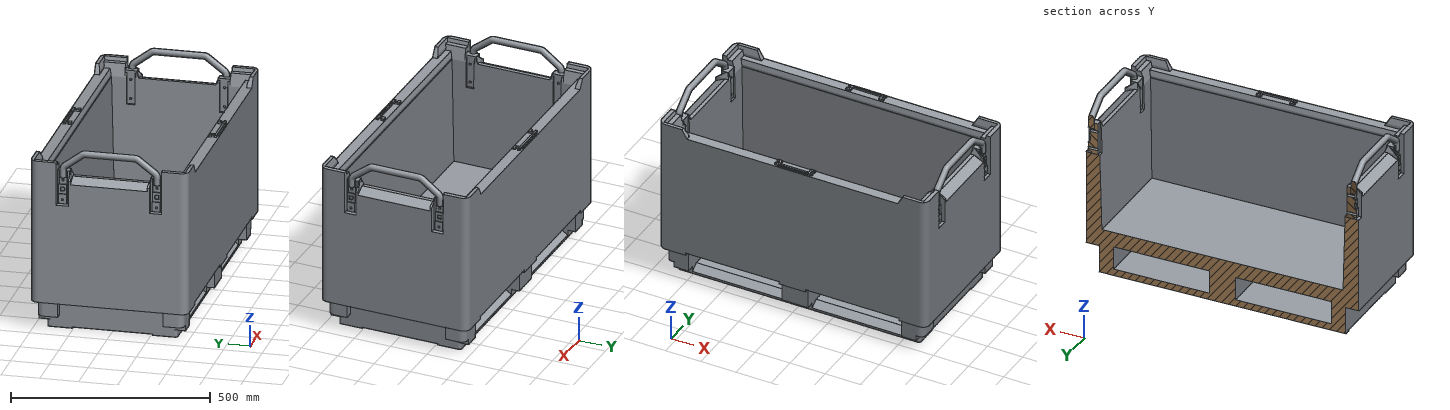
import cadquery as cq
LENGTH = 762.0
WIDTH = 406.0
TOTAL_HEIGHT = 488.0
POST_TOP = 455.0
RIM_TOP = 430.5
LEDGE_TOP = 445.0
WALL_BOTTOM = 76.0
CORNER_RADIUS = 20.0
CLEAR = 76.0

FLOOR_TOP = 126.5
DRAFT_TOP = 411.5
FLOOR_HALF_X, FLOOR_HALF_Y = 336.0, 161.0
DRAFT_HALF_X, DRAFT_HALF_Y = 344.0, 169.0
RIM_STEP_TOP = 417.0
RIM_STEP_HALF_Y = 171.0
RIM_HALF_Y = 174.5
LEDGE_HALF_X = 353.5
LIP_FOOT_HALF_X, LIP_HALF_X = 366.5, 369.5
LIP_FOOT_HALF_Y, LIP_HALF_Y = 190.0, 194.0
LIP_SLOPE_BOTTOM = 437.5

SIDE_CUT_HALF_BOTTOM = 299.5
SIDE_CUT_HALF_TOP = 314.0

END_TOP = 413.0
END_BEVEL_DROP = 14.0
END_BEVEL_HALF_X = 354.0
END_CUT_HALF_Y = 99.0
SHOULDER_TOP = 430.0
SHOULDER_BEVEL_DROP = 21.0

FOOT_HALF_X, FOOT_HALF_Y = 366.0, 189.0
FOOT_INNER_Y = 136.0
FOOT_BOTTOM = 34.0
FOOT_RADIUS = 17.0
BASE_HALF_X = 344.5
DECK_TOP = 20.0
DECK_HALF_Y = 168.0
DECK_RADIUS = 8.0
DECK_EDGE = 6.0
DECK_RAMP_RUN = 21.0
SKID_RECESS_HALF_Y = 104.0
SKID_RECESS_DEPTH = 3.0
FORK_TOP = 83.0
FORK_INNER_X, FORK_OUTER_X = 37.0, 303.0

GUIDE_HEIGHT = 4.5
GUIDE_STRIP_HEIGHT = 2.0
GUIDE_HALF_X = 53.0
GUIDE_NECK_HALF_X = 46.0
GUIDE_POCKET_HALF_X = 40.5
GUIDE_STRIP_HALF_X = 43.0
GUIDE_FOOT_INNER_Y, GUIDE_FOOT_OUTER_Y = 177.5, 184.5
GUIDE_BAR_INNER_Y, GUIDE_BAR_OUTER_Y = 192.0, 197.0
GUIDE_STRIP_OUTER_Y = 201.0

BRACKET_INNER_Y, BRACKET_OUTER_Y = 104.5, 136.0
BRACKET_BOTTOM, BRACKET_TOP = 341.0, 430.5
BRACKET_BACK_X = 347.5
FLANGE_FACE_X = 366.5
PLATE_INNER_Y, PLATE_OUTER_Y = 110.5, 131.0
PLATE_BOTTOM = 344.5
LOW_TIER_TOP, MIDDLE_TIER_TOP = 370.0, 395.5
LOW_FACE_X, MIDDLE_FACE_X, HIGH_FACE_X = 375.0, 372.5, 369.5
WINDOW_INNER_Y, WINDOW_OUTER_Y = 109.0, 130.0
BOLT_DIAMETER = 5.0
BOLT_HEIGHTS = (355.0, 406.0)
LATCH_HEIGHT = 382.5
LATCH_RADIUS = 5.0
LATCH_FLAT = 5.0
LATCH_DEPTH = 4.0

TUBE_DIAMETER = 17.0
HANDLE_X = 366.5
LEG_Y = 121.0
LEG_BOTTOM = 414.0
LOWER_BEND_Z = 440.0
UPPER_BEND_Y = 68.5
BEND_RADIUS = 15.0


def block(x0, x1, y0, y1, z0, z1):
    """Box between two opposite corners."""
    return cq.Workplane("XY").box(x1 - x0, y1 - y0, z1 - z0, centered=False).translate((x0, y0, z0))


def centered_block(half_x, half_y, z0, z1):
    return block(-half_x, half_x, -half_y, half_y, z0, z1)


def frustum(lower_half, upper_half, z0, z1):
    """Four-sided taper between two centred rectangles."""
    return (
        cq.Workplane("XY", origin=(0, 0, z0))
        .rect(2 * lower_half[0], 2 * lower_half[1])
        .workplane(offset=z1 - z0)
        .rect(2 * upper_half[0], 2 * upper_half[1])
        .loft(ruled=True)
    )


def prism_along_x(points_yz, half_x):
    return cq.Workplane("YZ").polyline(points_yz).close().extrude(half_x, both=True)


def prism_along_y(points_xz, half_y):
    return cq.Workplane("XZ").polyline(points_xz).close().extrude(half_y, both=True)


def mirrored_x(shape):
    return shape.mirror("YZ")


def mirrored_y(shape):
    return shape.mirror("XZ")


def four_corners(shape):
    """The shape at the -X, +Y corner and its copies at the other three corners."""
    pair = [shape, mirrored_y(shape)]
    return pair + [mirrored_x(item) for item in pair]


def between(value, start, end, start_result, end_result):
    """Straight-line value between two known results."""
    share = (value - start) / (end - start)
    return start_result + share * (end_result - start_result)


def flare_half_x(z):
    """Half length of the cavity where the end walls flare out to the ledges."""
    return between(z, DRAFT_TOP, LEDGE_TOP, DRAFT_HALF_X, LEDGE_HALF_X)


def lip_half_y(z):
    """Half width between the sloped inner faces of the corner lips."""
    return between(z, LIP_SLOPE_BOTTOM, POST_TOP, LIP_FOOT_HALF_Y, LIP_HALF_Y)


def cavity():
    """Drafted interior that opens to the rim, the corner ledges and the corner lips."""
    floor = (FLOOR_HALF_X, FLOOR_HALF_Y)
    draft = (DRAFT_HALF_X, DRAFT_HALF_Y)
    step_bottom = (DRAFT_HALF_X, RIM_STEP_HALF_Y)
    step_top = (flare_half_x(RIM_STEP_TOP), RIM_STEP_HALF_Y)
    rim = (flare_half_x(RIM_TOP), RIM_HALF_Y)
    lip_foot = (flare_half_x(RIM_TOP), LIP_FOOT_HALF_Y)
    lip_slope = (flare_half_x(LIP_SLOPE_BOTTOM), LIP_FOOT_HALF_Y)
    ledge_inner = (LEDGE_HALF_X, lip_half_y(LEDGE_TOP))
    ledge_outer = (LIP_FOOT_HALF_X, lip_half_y(LEDGE_TOP))
    lip_top = (LIP_HALF_X, LIP_HALF_Y)

    space = frustum(floor, draft, FLOOR_TOP, DRAFT_TOP)
    space = space.union(frustum(step_bottom, step_top, DRAFT_TOP, RIM_STEP_TOP))
    space = space.union(frustum(step_top, rim, RIM_STEP_TOP, RIM_TOP))
    space = space.union(frustum(lip_foot, lip_slope, RIM_TOP, LIP_SLOPE_BOTTOM))
    space = space.union(frustum(lip_slope, ledge_inner, LIP_SLOPE_BOTTOM, LEDGE_TOP))
    return space.union(frustum(ledge_outer, lip_top, LEDGE_TOP, POST_TOP))


def side_wall_cut():
    """Lowers both long sides between the corner posts."""
    profile = [
        (-SIDE_CUT_HALF_BOTTOM, RIM_TOP),
        (SIDE_CUT_HALF_BOTTOM, RIM_TOP),
        (SIDE_CUT_HALF_TOP, POST_TOP),
        (-SIDE_CUT_HALF_TOP, POST_TOP),
    ]
    return prism_along_y(profile, WIDTH)


def end_wall_cut():
    """Lowers both end walls, leaving a sloped shoulder beside each bracket."""
    profile = [
        (-END_CUT_HALF_Y, END_TOP),
        (END_CUT_HALF_Y, END_TOP),
        (BRACKET_INNER_Y, SHOULDER_TOP),
        (BRACKET_INNER_Y, POST_TOP),
        (-BRACKET_INNER_Y, POST_TOP),
        (-BRACKET_INNER_Y, SHOULDER_TOP),
    ]
    return prism_along_x(profile, LENGTH)


def outer_edge_bevel(top, drop, half_y):
    """Cutter that slopes an outer top edge of the end wall on the -X side."""
    outer_x = -LENGTH / 2
    profile = [(outer_x, top - drop), (-END_BEVEL_HALF_X, top), (outer_x, top)]
    return prism_along_y(profile, half_y)


def end_bevels():
    """Bevels on the lowered end wall and on its two shoulders, on the -X side."""
    wall_bevel = outer_edge_bevel(END_TOP, END_BEVEL_DROP, END_CUT_HALF_Y)
    shoulder_bevel = outer_edge_bevel(SHOULDER_TOP, SHOULDER_BEVEL_DROP, BRACKET_INNER_Y)
    return wall_bevel.union(shoulder_bevel)


def bracket_notch():
    """Recess in the end wall for the bracket at the -X, +Y corner, with a window behind it."""
    outer_x = -LENGTH / 2
    inner_x = -DRAFT_HALF_X + CLEAR
    seat = block(
        outer_x, -BRACKET_BACK_X, BRACKET_INNER_Y, BRACKET_OUTER_Y, BRACKET_BOTTOM, POST_TOP
    )
    window = block(outer_x, inner_x, WINDOW_INNER_Y, WINDOW_OUTER_Y, BRACKET_BOTTOM, POST_TOP)
    above = block(outer_x, inner_x, BRACKET_INNER_Y, BRACKET_OUTER_Y, BRACKET_TOP, POST_TOP)
    return seat.union(window).union(above)


def stacking_guide():
    """Raised I-shaped guide on the +Y rim with a low outer strip and a pocket open inwards."""

    def rib(half_x, y0, y1, height=GUIDE_HEIGHT):
        return block(-half_x, half_x, y0, y1, RIM_TOP, RIM_TOP + height)

    guide = rib(GUIDE_HALF_X, GUIDE_FOOT_INNER_Y, GUIDE_FOOT_OUTER_Y)
    guide = guide.union(rib(GUIDE_NECK_HALF_X, GUIDE_FOOT_OUTER_Y, GUIDE_BAR_INNER_Y))
    guide = guide.union(rib(GUIDE_HALF_X, GUIDE_BAR_INNER_Y, GUIDE_BAR_OUTER_Y))
    strip = rib(GUIDE_STRIP_HALF_X, GUIDE_BAR_OUTER_Y, GUIDE_STRIP_OUTER_Y, GUIDE_STRIP_HEIGHT)
    pocket = rib(GUIDE_POCKET_HALF_X, GUIDE_FOOT_INNER_Y, GUIDE_BAR_INNER_Y)
    return guide.union(strip).cut(pocket)


def fork_opening():
    """Cutter for one fork opening on the +X side, with ramps on the deck edges."""
    profile = [
        (-DECK_HALF_Y - CLEAR, FORK_TOP),
        (-DECK_HALF_Y - CLEAR, DECK_EDGE),
        (-DECK_HALF_Y, DECK_EDGE),
        (-DECK_HALF_Y + DECK_RAMP_RUN, DECK_TOP),
        (DECK_HALF_Y - DECK_RAMP_RUN, DECK_TOP),
        (DECK_HALF_Y, DECK_EDGE),
        (DECK_HALF_Y + CLEAR, DECK_EDGE),
        (DECK_HALF_Y + CLEAR, FORK_TOP),
    ]
    opening = cq.Workplane("YZ", origin=(FORK_INNER_X, 0, 0)).polyline(profile).close()
    return opening.extrude(FORK_OUTER_X - FORK_INNER_X)


def pallet_base():
    """Deck, stepped legs and corner feet under the box."""
    feet = centered_block(FOOT_HALF_X, FOOT_HALF_Y, FOOT_BOTTOM, WALL_BOTTOM)
    feet = feet.edges("|Z").fillet(FOOT_RADIUS)
    for side in (-1, 1):
        middle = side * (BASE_HALF_X + CLEAR / 2)
        gap = centered_block(CLEAR / 2, FOOT_INNER_Y, FOOT_BOTTOM, WALL_BOTTOM)
        feet = feet.cut(gap.translate((middle, 0, 0)))
    legs = centered_block(BASE_HALF_X, FOOT_HALF_Y, DECK_TOP, FOOT_BOTTOM)
    deck = centered_block(BASE_HALF_X, DECK_HALF_Y, 0, DECK_TOP)
    deck = deck.edges("|Z").fillet(DECK_RADIUS)
    recess = centered_block(LENGTH, SKID_RECESS_HALF_Y, 0, SKID_RECESS_DEPTH)
    return feet.union(legs).union(deck.cut(recess))


def make_box():
    body = centered_block(LENGTH / 2, WIDTH / 2, WALL_BOTTOM, POST_TOP)
    body = body.edges("|Z").fillet(CORNER_RADIUS)
    body = body.cut(cavity()).cut(side_wall_cut()).cut(end_wall_cut())
    body = body.cut(end_bevels()).cut(mirrored_x(end_bevels()))
    for notch in four_corners(bracket_notch()):
        body = body.cut(notch)
    body = body.union(pallet_base())
    body = body.cut(fork_opening()).cut(mirrored_x(fork_opening()))
    return body.union(stacking_guide()).union(mirrored_y(stacking_guide()))


def latch_recess():
    """D-shaped blind recess in the middle tier, with its flat towards +Y."""
    depth = LENGTH / 2 - MIDDLE_FACE_X + LATCH_DEPTH
    return (
        cq.Workplane("YZ", origin=(-LENGTH / 2, LEG_Y, LATCH_HEIGHT))
        .moveTo(LATCH_FLAT, -LATCH_RADIUS)
        .lineTo(0, -LATCH_RADIUS)
        .threePointArc((-LATCH_RADIUS, 0), (0, LATCH_RADIUS))
        .lineTo(LATCH_FLAT, LATCH_RADIUS)
        .close()
        .extrude(depth)
    )


def make_bracket():
    """Handle bracket at the -X, +Y corner: a flange with a raised plate in three tiers."""
    bracket = block(
        -FLANGE_FACE_X,
        -BRACKET_BACK_X,
        BRACKET_INNER_Y,
        BRACKET_OUTER_Y,
        BRACKET_BOTTOM,
        BRACKET_TOP,
    )
    tiers = [
        (LOW_FACE_X, PLATE_BOTTOM, LOW_TIER_TOP),
        (MIDDLE_FACE_X, LOW_TIER_TOP, MIDDLE_TIER_TOP),
        (HIGH_FACE_X, MIDDLE_TIER_TOP, BRACKET_TOP),
    ]
    for face_x, bottom, top in tiers:
        tier = block(-face_x, -BRACKET_BACK_X, PLATE_INNER_Y, PLATE_OUTER_Y, bottom, top)
        bracket = bracket.union(tier)
    bolts = (
        cq.Workplane("YZ", origin=(-LENGTH / 2, 0, 0))
        .pushPoints([(LEG_Y, height) for height in BOLT_HEIGHTS])
        .circle(BOLT_DIAMETER / 2)
        .extrude(CLEAR)
    )
    socket = (
        cq.Workplane("XY", origin=(-HANDLE_X, LEG_Y, LEG_BOTTOM))
        .circle(TUBE_DIAMETER / 2)
        .extrude(CLEAR)
    )
    return bracket.cut(bolts).cut(latch_recess()).cut(socket)


def make_handle(x):
    """Bent tube standing in the two brackets of one end wall."""
    bar_z = TOTAL_HEIGHT - TUBE_DIAMETER / 2
    corners = [
        cq.Vector(x, LEG_Y, LEG_BOTTOM),
        cq.Vector(x, LEG_Y, LOWER_BEND_Z),
        cq.Vector(x, UPPER_BEND_Y, bar_z),
        cq.Vector(x, -UPPER_BEND_Y, bar_z),
        cq.Vector(x, -LEG_Y, LOWER_BEND_Z),
        cq.Vector(x, -LEG_Y, LEG_BOTTOM),
    ]
    path = cq.Wire.makePolygon(corners)
    path = path.fillet(BEND_RADIUS, path.Vertices()[1:-1])
    section = cq.Workplane("XY", origin=corners[0].toTuple()).circle(TUBE_DIAMETER / 2)
    return section.sweep(cq.Workplane(path))


box = make_box()
brackets = four_corners(make_bracket())
handles = [make_handle(side * HANDLE_X) for side in (-1, 1)]

result = cq.Compound.makeCompound(
    [box.val()] + [bracket.val() for bracket in brackets] + [handle.val() for handle in handles]
)